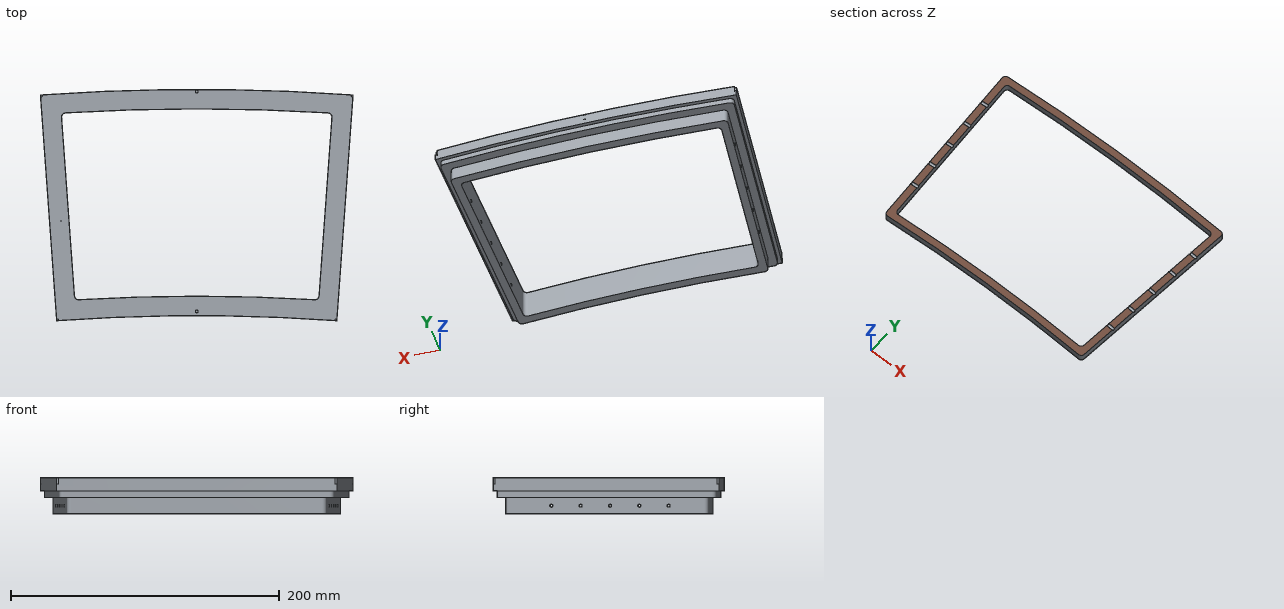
import cadquery as cq
import math

half_width = 116.5
narrow_half_width = 104.4
depth = 172.4
height = 27.0

flange_height = 10.0
step_height = 5.0
skirt_height = height - flange_height - step_height
step_inset = 2.5
skirt_inset = 8.6
opening_inset = 14.7
corner_radius = 3.0

hole_diameter = 2.0
pin_hole_depth = 5.0
back_pin_edge = 1.6
front_pin_edge = 3.3
corner_pin_inset = 0.5
side_hole_count = 5
side_hole_pitch = 22.0
side_hole_middle = 0.7

back_edge_y = depth / 2
front_corner_y = -depth / 2
half_angle = math.atan2(depth, narrow_half_width) - math.acos(half_width / math.hypot(depth, narrow_half_width))
back_radius = half_width / math.sin(half_angle)
front_radius = narrow_half_width / math.sin(half_angle)
centre_y = back_edge_y - back_radius
back_corner_y = centre_y + back_radius * math.cos(half_angle)
front_crown_y = centre_y + front_radius

top_z = height / 2
bottom_z = -height / 2


def sector_corner(radius, inset):
    """+X corner where an arc meets the radial end moved inward by `inset`."""
    along_end = math.sqrt(radius**2 - inset**2)
    x = along_end * math.sin(half_angle) - inset * math.cos(half_angle)
    y = along_end * math.cos(half_angle) + inset * math.sin(half_angle)
    return x, centre_y + y


def sector(inset, base_z, thickness):
    """Solid sector plate whose edge lies `inset` inside the flange edge."""
    back_x, back_y = sector_corner(back_radius - inset, inset)
    front_x, front_y = sector_corner(front_radius + inset, inset)
    return (
        cq.Workplane("XY", origin=(0, 0, base_z))
        .moveTo(-back_x, back_y)
        .threePointArc((0, back_edge_y - inset), (back_x, back_y))
        .lineTo(front_x, front_y)
        .threePointArc((0, front_crown_y + inset), (-front_x, front_y))
        .close()
        .extrude(thickness)
    )


def rounded_sector(inset, base_z, thickness):
    """Sector plate with its four upright corners rounded."""
    return sector(inset, base_z, thickness).edges("|Z").fillet(corner_radius)


skirt = rounded_sector(skirt_inset, bottom_z, skirt_height)
step = rounded_sector(step_inset, bottom_z + skirt_height, step_height)
flange = sector(0, top_z - flange_height, flange_height)
opening = rounded_sector(opening_inset, bottom_z, height)
frame = flange.union(step).union(skirt).cut(opening)

pin_points = [(0, back_edge_y - back_pin_edge), (0, front_crown_y + front_pin_edge)]
for side in (-1, 1):
    pin_points.append((side * (half_width - corner_pin_inset), back_corner_y - corner_pin_inset))
    pin_points.append((side * (narrow_half_width - corner_pin_inset), front_corner_y + corner_pin_inset))
pin_holes = (
    cq.Workplane("XY", origin=(0, 0, top_z - pin_hole_depth))
    .pushPoints(pin_points)
    .circle(hole_diameter / 2)
    .extrude(pin_hole_depth)
)

wall_thickness = opening_inset - skirt_inset
back_x, back_y = sector_corner(back_radius - skirt_inset, skirt_inset)
middle_hole_x = back_x - (back_y - side_hole_middle) * math.tan(half_angle)
side_wall = cq.Plane(
    origin=(middle_hole_x, side_hole_middle, bottom_z + skirt_height / 2),
    xDir=(math.sin(half_angle), math.cos(half_angle), 0),
    normal=(math.cos(half_angle), -math.sin(half_angle), 0),
)
right_holes = (
    cq.Workplane(side_wall)
    .rarray(side_hole_pitch, 2.3, side_hole_count, 1)
    .circle(hole_diameter / 2)
    .extrude(2 * wall_thickness, both=True)
)
left_holes = right_holes.mirror("YZ")

result = frame.cut(pin_holes).cut(right_holes).cut(left_holes)